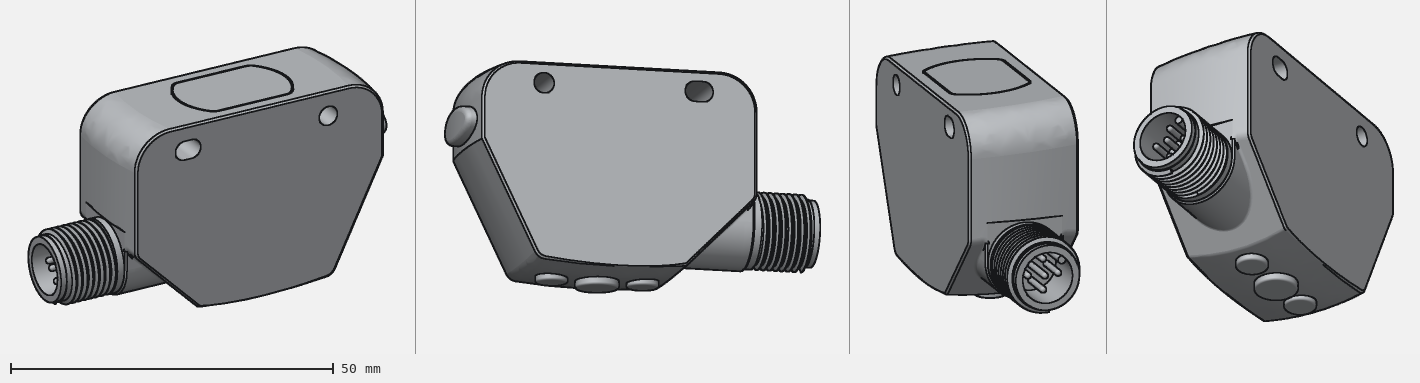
import cadquery as cq
import math


housing_width = 18.0
half_width = housing_width / 2
crown = 0.75
front_y = 10.4
back_y = 55.9
top_high_z = 23.8
top_low_z = 22.9
top_slope = math.degrees(math.atan2(top_high_z - top_low_z, housing_width))
top_mid_z = (top_high_z + top_low_z) / 2
bottom_z = -9.45
bottom_mid_y = 34.4
bottom_radius = 103.6
rear_slope_top_z = 10.2
rear_slope_angle = 26.0
front_slope_angle = 45.0
front_slope_z = 3.9
reach = 69.05
corner_tolerance = 1.7
seam_tolerance = 0.005

top_corner_radius = 6.05
rear_bottom_radius = 2.0
front_bottom_radius = 0.85
front_corner_radius = 1.85
side_chamfer = 0.35

hole_diameter = 3.2
hole_z = 19.6
round_hole_y = 45.3
slot_y = 20.4
slot_length = 4.5

lens_y = 33.25
recess_end_radius = 9.5
recess_half_width = 6.7
recess_corner_radius = 1.7
recess_depth = 0.85
lens_gap = 0.3

indicator_z = 14.0
indicator_width = 13.7
indicator_height = 5.7
indicator_end_y = 57.55
indicator_seat_y = 54.1
indicator_fillet = 0.85

button_spacing = 7.3
large_button_diameter = 6.85
large_button_z = -10.55
small_button_diameter = 5.05
small_button_z = -10.0
button_root_z = -8.05
button_fillet = 0.35

boss_radius = 6.4
boss_top_z = 6.5
boss_face_y = 10.75
boss_root_y = 23.0
boss_chamfer = 0.3
boss_bevel_top_z = 3.15
boss_fillet = 0.45

collar_radius = 6.05
collar_end_y = 9.55
core_radius = 5.35
tip_radius = 5.25
tip_length = 1.0
bore_radius = 4.1
bore_depth = 7.75
thread_start_angle = 83.0
thread_turns = 8
thread_length = 8.0
thread_pitch = thread_length / thread_turns
thread_start_y = 1.5
thread_root_width = 0.85
thread_crest_width = 0.1
thread_overlap = 0.1
key_radius = 0.65
key_offset = 2.55
key_recess = 0.6

pin_diameter = 1.05
pin_spacing = 2.5
pin_tip_y = 1.65
centre_pin_tip_y = 0.8
pin_seat_depth = 1.7
pin_root_y = bore_depth + pin_seat_depth


def cylinder_y(radius, y_start, y_end, x=0.0, z=0.0):
    """Cylinder parallel to Y between two Y positions."""
    return (
        cq.Workplane("XZ", origin=(x, y_start, z))
        .circle(radius)
        .extrude(y_start - y_end)
    )


def crowned_slab(height):
    """Slab filling Y < 0, with a wall at Y = 0 that bulges toward +Y at mid-width."""
    return (
        cq.Workplane("XY")
        .moveTo(-half_width, -reach)
        .lineTo(-half_width, -crown)
        .threePointArc((0, 0), (half_width, -crown))
        .lineTo(half_width, -reach)
        .close()
        .extrude(height, both=True)
    )


def crowned_bottom():
    """Large disc turned about an axis parallel to X, whose crowned rim forms the bottom."""
    axis_z = bottom_z + bottom_radius
    return (
        cq.Workplane("XZ", origin=(0, bottom_mid_y, 0))
        .moveTo(-half_width, axis_z)
        .lineTo(-half_width, bottom_z + crown)
        .threePointArc((0, bottom_z), (half_width, bottom_z + crown))
        .lineTo(half_width, axis_z)
        .close()
        .revolve(360, (-half_width, axis_z), (half_width, axis_z))
    )


def top_plane():
    """Work plane on the top face, which falls toward -X."""
    plane = cq.Plane(origin=(0, 0, top_mid_z)).rotated((0, -top_slope, 0))
    return cq.Workplane(plane)


def edges_near(body, y, z):
    """Edges that run along X and have their centre near a point of the side outline."""

    def crosses(edge):
        centre = edge.Center()
        box = edge.BoundingBox()
        runs_across = box.xlen > max(box.ylen, box.zlen)
        return runs_across and math.hypot(centre.y - y, centre.z - z) < corner_tolerance

    return body.newObject([edge for edge in body.edges().vals() if crosses(edge)])


def boss_prism(y_start, y_end):
    """Round-bottomed, square-topped prism around the connector axis."""
    return (
        cq.Workplane("XZ", origin=(0, y_start, 0))
        .moveTo(-boss_radius, 0)
        .threePointArc((0, -boss_radius), (boss_radius, 0))
        .lineTo(boss_radius, boss_top_z)
        .lineTo(-boss_radius, boss_top_z)
        .close()
        .extrude(y_start - y_end)
    )


def front_slope_with_boss():
    """Everything behind the front slope, plus the boss, with a fillet along their seam."""
    behind_slope = (
        cq.Workplane("XY")
        .box(2 * reach, 2 * reach, 2 * reach, centered=(True, False, True))
        .rotate((0, 0, 0), (1, 0, 0), front_slope_angle)
        .translate((0, front_y, front_slope_z))
    )

    def joins_slope(edge):
        centre = edge.Center()
        slope_y = front_y + (front_slope_z - centre.z) / math.tan(math.radians(front_slope_angle))
        on_slope = abs(centre.y - slope_y) < seam_tolerance
        on_boss = edge.BoundingBox().xmax < boss_radius + seam_tolerance
        below_boss_top = centre.z < boss_top_z - seam_tolerance
        return on_slope and on_boss and below_boss_top

    form = behind_slope.union(boss_prism(0, boss_root_y))
    seam = [edge for edge in form.edges().vals() if joins_slope(edge)]
    return form.newObject(seam).fillet(boss_fillet)


def housing_shell():
    """Crowned outer form of the housing, with its corners rounded and its side edges chamfered."""
    back = crowned_slab(reach).translate((0, back_y, 0))
    front = crowned_slab(reach).rotate((0, 0, 0), (0, 0, 1), 180).translate((0, front_y, 0))
    rear_slope = (
        crowned_slab(reach)
        .rotate((0, 0, 0), (1, 0, 0), -rear_slope_angle)
        .translate((0, back_y, rear_slope_top_z))
    )
    below_top = top_plane().rect(2 * reach, 4 * reach).extrude(-reach)
    body = back.intersect(front).intersect(rear_slope).intersect(below_top)
    body = body.intersect(front_slope_with_boss()).intersect(crowned_bottom())

    slope_run = (front_slope_z - bottom_z) / math.tan(math.radians(front_slope_angle))
    rear_run = (rear_slope_top_z - bottom_z) * math.tan(math.radians(rear_slope_angle))
    corners = [
        (front_y, top_mid_z, top_corner_radius),
        (back_y, top_mid_z, top_corner_radius),
        (front_y, front_slope_z, front_corner_radius),
        (front_y + slope_run, bottom_z, front_bottom_radius),
        (back_y - rear_run, bottom_z, rear_bottom_radius),
    ]
    for y, z, radius in corners:
        body = edges_near(body, y, z).fillet(radius)
    return body.faces("<X or >X").edges().chamfer(side_chamfer)


def mounting_holes():
    """Round hole and slot that pass through the housing along X."""
    round_hole = cq.Workplane("YZ").center(round_hole_y, hole_z).circle(hole_diameter / 2)
    slot = cq.Workplane("YZ").center(slot_y, hole_z).slot2D(slot_length, hole_diameter)
    return round_hole.extrude(half_width, both=True).union(slot.extrude(half_width, both=True))


def window_block(inset):
    """Disc with two flat sides, let into the sloping top face."""
    radius = recess_end_radius - inset
    side = recess_half_width - inset
    side_end = math.sqrt(radius**2 - side**2)
    return (
        top_plane()
        .center(0, lens_y)
        .moveTo(side, -side_end)
        .lineTo(side, side_end)
        .threePointArc((0, radius), (-side, side_end))
        .lineTo(-side, -side_end)
        .threePointArc((0, -radius), (side, -side_end))
        .close()
        .extrude(-recess_depth)
        .edges(cq.selectors.ParallelDirSelector(top_plane().plane.zDir))
        .fillet(recess_corner_radius - inset)
    )


def finish_boss(body):
    """Square off the boss at its face and bevel its rim where it stands out of the front slope."""
    below_wall = cq.Workplane("XY").box(reach, reach, reach, centered=(True, True, False))
    below_wall = below_wall.translate((0, 0, boss_bevel_top_z - reach))
    bevel_end_y = boss_face_y + boss_chamfer
    rim = boss_prism(boss_face_y, boss_root_y).faces("<Y").edges("%CIRCLE").chamfer(boss_chamfer)
    rim = rim.intersect(below_wall)
    body = body.cut(boss_prism(0, boss_face_y))
    return body.cut(boss_prism(0, bevel_end_y).intersect(below_wall)).union(rim)


def button(y, diameter, end_z):
    """Round button that stands out of the bottom."""
    return (
        cq.Workplane("XY", origin=(0, y, end_z))
        .circle(diameter / 2)
        .extrude(button_root_z - end_z)
        .faces("<Z")
        .edges()
        .fillet(button_fillet)
    )


def make_indicator():
    """Elliptical light at the back, with an end face crowned like the wall."""
    end_slab = crowned_slab(reach).translate((0, indicator_end_y, 0))
    return (
        cq.Workplane("XZ", origin=(0, indicator_seat_y, indicator_z))
        .ellipse(indicator_width / 2, indicator_height / 2)
        .extrude(-reach)
        .intersect(end_slab)
        .faces(">Y")
        .edges()
        .fillet(indicator_fillet)
    )


def make_housing():
    """Housing with its buttons, mounting holes and seats for the lens and the indicator."""
    body = finish_boss(housing_shell())
    body = body.union(button(bottom_mid_y, large_button_diameter, large_button_z))
    for side in (-1, 1):
        button_y = bottom_mid_y + side * button_spacing
        body = body.union(button(button_y, small_button_diameter, small_button_z))
    return body.cut(mounting_holes()).cut(window_block(0)).cut(make_indicator())


def make_thread():
    """Helical ridge wound about Z, with its start at Z = 0."""
    root_radius = core_radius - thread_overlap
    path = cq.Wire.makeHelix(thread_pitch, thread_length, root_radius)
    return (
        cq.Workplane("XZ")
        .moveTo(root_radius, -thread_root_width / 2)
        .lineTo(collar_radius, -thread_crest_width / 2)
        .lineTo(collar_radius, thread_crest_width / 2)
        .lineTo(root_radius, thread_root_width / 2)
        .close()
        .sweep(cq.Workplane(path), isFrenet=True)
    )


def make_connector():
    """Threaded connector shell with a keyed bore, closed toward the housing."""
    body = cylinder_y(collar_radius, collar_end_y, boss_face_y)
    body = body.union(cylinder_y(core_radius, tip_length, collar_end_y))
    body = body.union(cylinder_y(tip_radius, 0, tip_length))
    thread = (
        make_thread()
        .rotate((0, 0, 0), (0, 0, 1), thread_start_angle)
        .rotate((0, 0, 0), (1, 0, 0), -90)
        .translate((0, thread_start_y, 0))
    )
    body = body.union(thread)
    body = body.cut(cylinder_y(bore_radius, 0, bore_depth))
    key = cylinder_y(key_radius, key_recess, bore_depth, key_offset, key_offset)
    return body.union(key)


def make_pin(x, z, tip_y):
    """Round pin with a domed tip."""
    radius = pin_diameter / 2
    shaft = cylinder_y(radius, tip_y + radius, pin_root_y, x, z)
    dome = cq.Workplane("XY", origin=(x, tip_y + radius, z)).sphere(radius)
    return shaft.union(dome)


housing = make_housing()
lens = window_block(lens_gap)
indicator = make_indicator()
connector = make_connector()

pin_places = [(0, 0, centre_pin_tip_y)]
for direction in (-1, 1):
    pin_places.append((direction * pin_spacing, 0, pin_tip_y))
    pin_places.append((0, direction * pin_spacing, pin_tip_y))
pins = []
for pin_x, pin_z, tip_y in pin_places:
    pin = make_pin(pin_x, pin_z, tip_y)
    connector = connector.cut(pin)
    pins.append(pin.val())

result = cq.Compound.makeCompound(
    [housing.val(), lens.val(), indicator.val(), connector.val(), *pins]
)